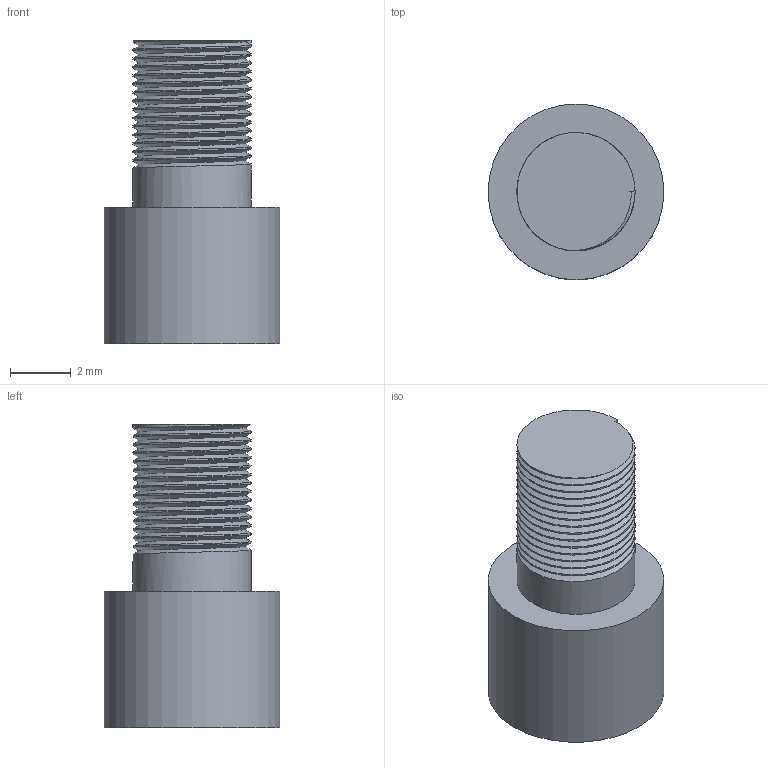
import cadquery as cq
import math

head_diameter = 5.8
head_height = 4.5
shank_diameter = 3.9
total_height = 10.0

thread_pitch = 0.28
thread_turns = 15
thread_depth = 0.2
groove_angle = 60.0
groove_end_drop = 0.04
cutter_overlap = 0.02

shank_radius = shank_diameter / 2
root_radius = shank_radius - thread_depth
thread_length = thread_pitch * thread_turns
thread_start_height = total_height - groove_end_drop - thread_length


def make_blank():
    """Plain cylindrical head with the shank standing on it."""
    head = cq.Workplane("XY").circle(head_diameter / 2).extrude(head_height)
    shank = cq.Workplane("XY").circle(shank_radius).extrude(total_height)
    return head.union(shank)


def make_thread_cutter():
    """Helical V cutter that starts and ends in the radial plane through +X."""
    outer_radius = shank_radius + cutter_overlap
    half_width = (outer_radius - root_radius) * math.tan(math.radians(groove_angle / 2))
    helix = cq.Wire.makeHelix(thread_pitch, thread_length, root_radius)
    profile = cq.Workplane("XZ").polyline(
        [(root_radius, 0), (outer_radius, half_width), (outer_radius, -half_width)]
    ).close()
    cutter = profile.sweep(cq.Workplane(obj=helix), isFrenet=True)
    return cutter.translate((0, 0, thread_start_height))


result = make_blank().cut(make_thread_cutter())